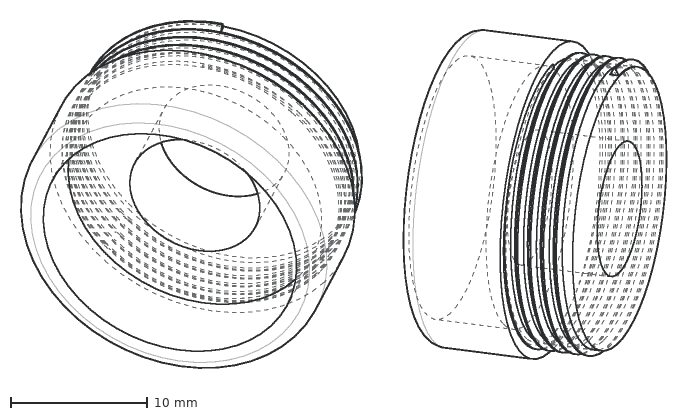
import cadquery as cq
import math


length = 13.0
flange_diameter = 23.5
flange_length = 7.8
rim_radius = 1.0
core_diameter = 21.0
recess_diameter = 19.5
recess_depth = 6.0
bore_diameter = 10.0

thread_diameter = 22.0
thread_turns = 5
thread_rise = 5.0
thread_pitch = thread_rise / thread_turns
crest_width = 0.125
flank_angle = 60.0
thread_end_inset = 0.4
root_overlap = 0.05


def make_cylinder(diameter, start, end):
    """Cylinder on the Y axis between two Y positions."""
    return cq.Workplane(cq.Plane((0, start, 0), (0, 0, 1), (0, 1, 0))).circle(diameter / 2).extrude(end - start)


def make_housing():
    """Round flange with a rounded front rim and a threaded-end core, recessed and bored through."""
    flange = make_cylinder(flange_diameter, 0, flange_length).faces("<Y").edges().fillet(rim_radius)
    core = make_cylinder(core_diameter, flange_length, length)
    recess = make_cylinder(recess_diameter, 0, recess_depth)
    bore = make_cylinder(bore_diameter, 0, length)
    return flange.union(core).cut(recess).cut(bore)


def make_thread(housing):
    """Helical ridge of trapezoid section, cut back to the core and the flange shoulder."""
    first_crest = length - thread_end_inset - thread_rise
    crest_radius = thread_diameter / 2
    root_radius = core_diameter / 2 - root_overlap
    half_crest = crest_width / 2
    half_root = half_crest + (crest_radius - root_radius) * math.tan(math.radians(flank_angle / 2))

    helix_plane = cq.Plane((0, first_crest, 0), (0, 0, 1), (0, 1, 0))
    helix = cq.Wire.makeHelix(thread_pitch, thread_rise, root_radius).moved(cq.Location(helix_plane))
    ridge = (
        cq.Workplane("YZ")
        .polyline([
            (first_crest - half_root, root_radius),
            (first_crest - half_crest, crest_radius),
            (first_crest + half_crest, crest_radius),
            (first_crest + half_root, root_radius),
        ])
        .close()
        .sweep(cq.Workplane(helix), isFrenet=True)
    )
    return ridge.cut(housing)


housing = make_housing()
thread = make_thread(housing)

result = cq.Compound.makeCompound([housing.val(), *thread.solids().vals()])